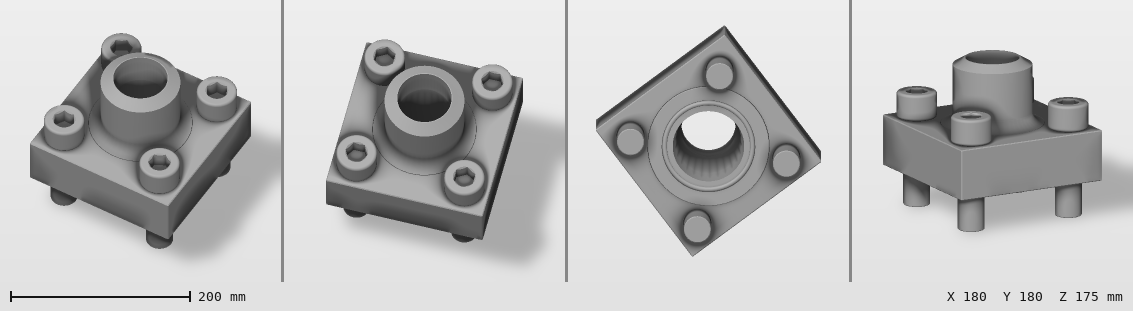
import cadquery as cq
import math

PLATE_SIDE = 180.0
PLATE_THICKNESS = 58.0
PLATE_CHAMFER = 1.0
NECK_HOLE_DIAMETER = 115.5
NECK_HOLE_CHAMFER = 0.5
COLLAR_RECESS_DIAMETER = 136.0
COLLAR_RECESS_DEPTH = 28.6
SCREW_HOLE_DIAMETER = 31.0

OVERALL_HEIGHT = 175.0
PIPE_DIAMETER = 89.0
BORE_DIAMETER = 60.5
BORE_MOUTH_DIAMETER = 79.5
BORE_FLARE_DROP = 37.5
RIM_DIAMETER = 62.5
BEVEL_ANGLE = 30.0
NECK_DIAMETER = 115.0
COLLAR_DIAMETER = 135.0
COLLAR_PROTRUSION = 2.0
COLLAR_CHAMFER = 0.5

GROOVE_INNER_DIAMETER = 92.5
GROOVE_OUTER_DIAMETER = 104.2
CORD_DIAMETER = 5.4
RING_PROTRUSION = 1.6

SCREW_SPACING = 123.8
SCREW_COUNT = 4
SHANK_DIAMETER = 30.0
SHANK_LENGTH = 100.0
SHANK_CHAMFER = 0.9
HEAD_DIAMETER = 45.0
HEAD_HEIGHT = SHANK_DIAMETER
HEAD_FILLET = 3.0
SOCKET_CORNER_DIAMETER = 25.4
SOCKET_DEPTH = 18.0
SOCKET_CONE_ANGLE = 45.0

pipe_top = PLATE_THICKNESS - SHANK_LENGTH + OVERALL_HEIGHT
collar_bottom = -COLLAR_PROTRUSION
neck_fillet = (NECK_DIAMETER - PIPE_DIAMETER) / 2
ring_radius = (GROOVE_INNER_DIAMETER + CORD_DIAMETER) / 2
groove_depth = CORD_DIAMETER - RING_PROTRUSION


def disc(diameter, bottom, height):
    """Cylinder on the Z axis, standing on the given height."""
    return cq.Workplane("XY").workplane(offset=bottom).circle(diameter / 2).extrude(height)


def make_plate():
    """Chamfered square plate with a stepped centre hole and four screw holes."""
    plate = cq.Workplane("XY").box(PLATE_SIDE, PLATE_SIDE, PLATE_THICKNESS, centered=(True, True, False))
    plate = plate.edges().chamfer(PLATE_CHAMFER)
    plate = plate.cut(disc(NECK_HOLE_DIAMETER, 0, PLATE_THICKNESS))
    plate = plate.faces(">Z").edges("%CIRCLE").chamfer(NECK_HOLE_CHAMFER)
    plate = plate.cut(disc(COLLAR_RECESS_DIAMETER, 0, COLLAR_RECESS_DEPTH))
    screw_holes = (
        cq.Workplane("XY")
        .rect(SCREW_SPACING, SCREW_SPACING, forConstruction=True)
        .vertices()
        .circle(SCREW_HOLE_DIAMETER / 2)
        .extrude(PLATE_THICKNESS)
    )
    return plate.cut(screw_holes)


def make_neck():
    """Revolved half section: flared bore, bevelled rim, filleted neck and collar."""
    bevel_height = (PIPE_DIAMETER - RIM_DIAMETER) / 2 * math.tan(math.radians(BEVEL_ANGLE))
    arc_offset = neck_fillet * (1 - math.sqrt(0.5))
    neck = (
        cq.Workplane("XZ")
        .moveTo(BORE_MOUTH_DIAMETER / 2, collar_bottom)
        .lineTo(BORE_DIAMETER / 2, pipe_top - BORE_FLARE_DROP)
        .lineTo(BORE_DIAMETER / 2, pipe_top)
        .lineTo(RIM_DIAMETER / 2, pipe_top)
        .lineTo(PIPE_DIAMETER / 2, pipe_top - bevel_height)
        .lineTo(PIPE_DIAMETER / 2, PLATE_THICKNESS + neck_fillet)
        .threePointArc(
            (PIPE_DIAMETER / 2 + arc_offset, PLATE_THICKNESS + arc_offset),
            (NECK_DIAMETER / 2, PLATE_THICKNESS),
        )
        .lineTo(NECK_DIAMETER / 2, COLLAR_RECESS_DEPTH)
        .lineTo(COLLAR_DIAMETER / 2, COLLAR_RECESS_DEPTH)
        .lineTo(COLLAR_DIAMETER / 2, collar_bottom + COLLAR_CHAMFER)
        .lineTo(COLLAR_DIAMETER / 2 - COLLAR_CHAMFER, collar_bottom)
        .close()
        .revolve(360, (0, 0), (0, 1))
    )
    groove = disc(GROOVE_OUTER_DIAMETER, collar_bottom, groove_depth)
    groove = groove.cut(disc(GROOVE_INNER_DIAMETER, collar_bottom, groove_depth))
    return neck.cut(groove)


def make_ring():
    """Round cord revolved about the Z axis, resting on the groove floor."""
    ring_height = collar_bottom - RING_PROTRUSION + CORD_DIAMETER / 2
    return (
        cq.Workplane("XZ")
        .center(ring_radius, ring_height)
        .circle(CORD_DIAMETER / 2)
        .revolve(360, (-ring_radius, 0), (-ring_radius, 1))
    )


def make_screw():
    """One screw on the Z axis, with the underside of its head on the plate."""
    profile = (
        cq.Workplane("XZ")
        .moveTo(0, -SHANK_LENGTH)
        .lineTo(SHANK_DIAMETER / 2 - SHANK_CHAMFER, -SHANK_LENGTH)
        .lineTo(SHANK_DIAMETER / 2, -SHANK_LENGTH + SHANK_CHAMFER)
        .lineTo(SHANK_DIAMETER / 2, 0)
        .lineTo(HEAD_DIAMETER / 2, 0)
        .lineTo(HEAD_DIAMETER / 2, HEAD_HEIGHT)
        .lineTo(0, HEAD_HEIGHT)
        .close()
    )
    screw = profile.revolve(360, (0, 0), (0, 1))
    head_rims = cq.selectors.RadiusNthSelector(-1)
    screw = screw.edges("%CIRCLE").edges(head_rims).fillet(HEAD_FILLET)
    socket = (
        cq.Workplane("XY")
        .workplane(offset=HEAD_HEIGHT - SOCKET_DEPTH)
        .polygon(6, SOCKET_CORNER_DIAMETER)
        .extrude(SOCKET_DEPTH)
    )
    cone_radius = SOCKET_CORNER_DIAMETER / 2
    cone_depth = cone_radius * math.tan(math.radians(SOCKET_CONE_ANGLE))
    lead_in = cq.Solid.makeCone(0, cone_radius, cone_depth, cq.Vector(0, 0, HEAD_HEIGHT - cone_depth))
    return screw.cut(socket).cut(cq.Workplane(lead_in))


def place_screws():
    """Separate copies turned in equal steps about the plate centre."""
    turn_step = 360 / SCREW_COUNT
    first = make_screw().translate((SCREW_SPACING / 2, SCREW_SPACING / 2, PLATE_THICKNESS))
    return [first.rotate((0, 0, 0), (0, 0, 1), turn_step * turn).val() for turn in range(SCREW_COUNT)]


plate = make_plate()
neck = make_neck()
ring = make_ring()
screws = place_screws()

result = cq.Compound.makeCompound([plate.val(), neck.val(), ring.val(), *screws])